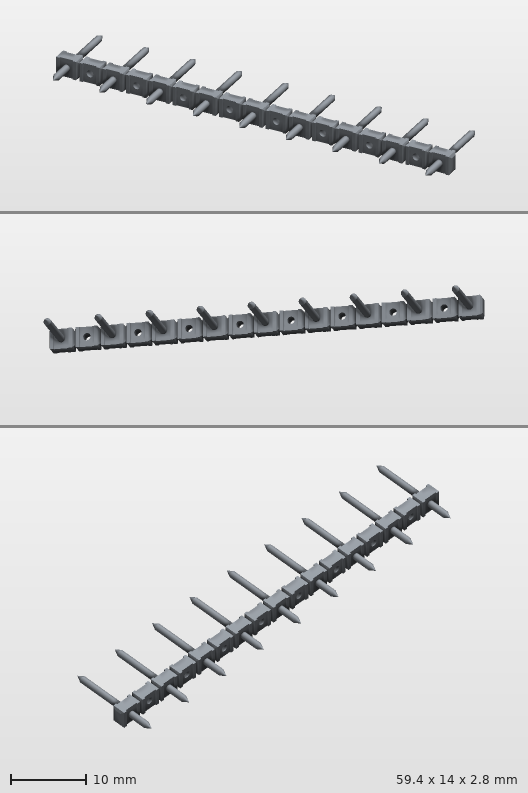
import cadquery as cq

total_length = 59.4
block_count = 17
pin_step = 2

block_gap = 0.09
block_depth = 2.0
block_height = 2.8
end_taper = 0.21
end_face_depth = 1.0
end_face_height = 2.0
recess_width = 2.0
recess_depth = 0.2
hole_diameter = 1.0

pin_diameter = 1.0
pin_length = 14.0
front_reach = 3.7
tip_length = 1.0

pitch = (total_length + block_gap) / block_count
block_length = pitch - block_gap
overlap = 0.05


def make_block():
    """Block centred on the origin: tapered ends, shallow front and back recesses, a hole along Y."""
    straight_length = block_length - 2 * end_taper
    block = cq.Workplane("XY").box(straight_length, block_depth, block_height)
    taper = (
        cq.Workplane("YZ", origin=(straight_length / 2, 0, 0))
        .rect(block_depth, block_height)
        .workplane(offset=end_taper)
        .rect(end_face_depth, end_face_height)
        .loft(ruled=True)
    )
    block = block.union(taper).union(taper.mirror("YZ"))
    for side in (-1, 1):
        recess = cq.Workplane("XY").box(recess_width, 2 * recess_depth, block_height)
        block = block.cut(recess.translate((0, side * block_depth / 2, 0)))
    hole = cq.Workplane("XZ").circle(hole_diameter / 2).extrude(block_depth / 2, both=True)
    return block.cut(hole)


def make_bridge():
    """Narrow bridge centred on the origin that joins two neighbouring blocks."""
    bridge_length = block_gap + 2 * overlap
    return cq.Workplane("XY").box(bridge_length, end_face_depth, end_face_height)


def make_pin():
    """Round pin along Y with a conical tip at each end, revolved from its half outline."""
    front = -block_depth / 2 - front_reach
    back = front + pin_length
    return (
        cq.Workplane("XY")
        .moveTo(0, front)
        .lineTo(pin_diameter / 2, front + tip_length)
        .lineTo(pin_diameter / 2, back - tip_length)
        .lineTo(0, back)
        .close()
        .revolve(360, (0, 0, 0), (0, 1, 0))
    )


block_places = [(i - (block_count - 1) / 2) * pitch for i in range(block_count)]
block = make_block()
bridge = make_bridge()
pin = make_pin()

result = cq.Workplane("XY")
for x in block_places:
    result = result.union(block.translate((x, 0, 0)))
for x in block_places[:-1]:
    result = result.union(bridge.translate((x + pitch / 2, 0, 0)))
for x in block_places[::pin_step]:
    result = result.union(pin.translate((x, 0, 0)))